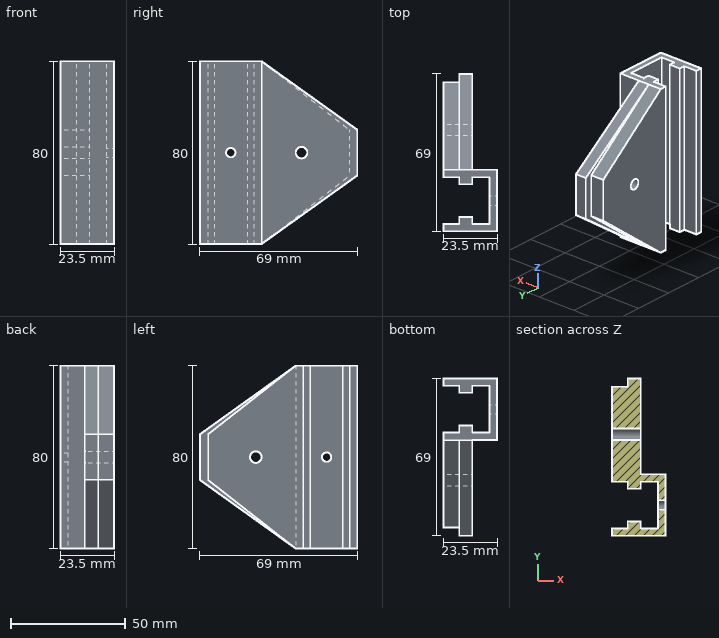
import cadquery as cq

height = 80.0
channel_width = 23.5
channel_depth = 27.0
wall = 3.4

rib_start = 7.0
rib_width = 5.8
rib_height = 3.0

wide_plate_end = 69.0
narrow_plate_end = 65.4
tip_height = 20.0

plate_hole_diameter = 5.0
plate_hole_y = 44.5
channel_hole_diameter = 4.0
channel_hole_y = channel_depth / 2
middle_z = height / 2


def block(x, y, size_x, size_y):
    """Full-height block with its lower corner at (x, y, 0)."""
    return cq.Workplane("XY").box(size_x, size_y, height, centered=False).translate((x, y, 0))


def tapered_plate(x, thickness, end_y):
    """Plate that tapers in Z from the channel to its tip at end_y."""
    outline = [
        (channel_depth - wall, 0),
        (channel_depth, 0),
        (end_y, middle_z - tip_height / 2),
        (end_y, middle_z + tip_height / 2),
        (channel_depth, height),
        (channel_depth - wall, height),
    ]
    return cq.Workplane("YZ", origin=(x, 0, 0)).polyline(outline).close().extrude(thickness)


def cross_hole(y, diameter):
    """Cutter along X, passing through the whole width."""
    return cq.Workplane("YZ").center(y, middle_z).circle(diameter / 2).extrude(channel_width)


channel = block(0, 0, channel_width, channel_depth)
cavity = block(0, wall, channel_width - wall, channel_depth - 2 * wall)
result = channel.cut(cavity)

for rib_y in (wall, channel_depth - wall - rib_height):
    result = result.union(block(rib_start, rib_y, rib_width, rib_height))

result = result.union(tapered_plate(0, rib_start, narrow_plate_end))
result = result.union(tapered_plate(rib_start, rib_width, wide_plate_end))

result = result.cut(cross_hole(plate_hole_y, plate_hole_diameter))
result = result.cut(cross_hole(channel_hole_y, channel_hole_diameter))